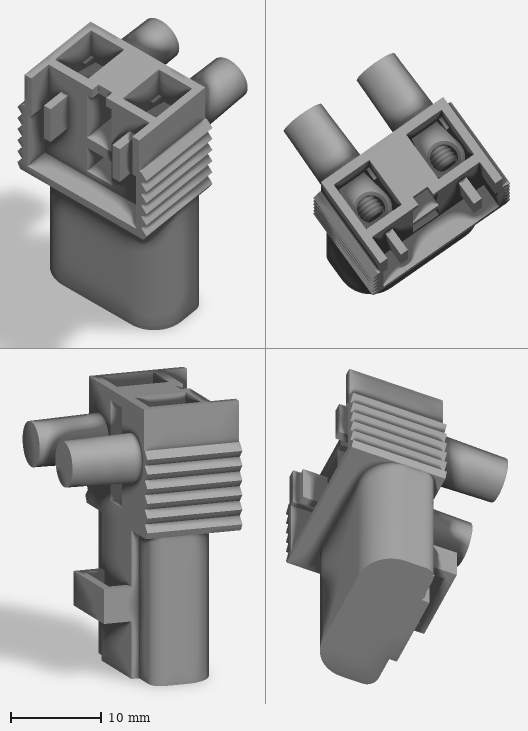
import cadquery as cq
import math


TOTAL_HEIGHT = 31.7
TOTAL_WIDTH = 18.8
TOTAL_DEPTH = 19.55

HEAD_DEPTH = 11.35
HEAD_HALF_WIDTH = 8.35
HEAD_BOTTOM = 17.02
HEAD_BOTTOM_HALF_WIDTH = 8.97

TOOTH_COUNT = 6
TOOTH_PITCH = 1.68
TOOTH_TIP_HALF_WIDTH = TOTAL_WIDTH / 2
TOOTH_ROOT_HALF_WIDTH = 8.62
TEETH_TOP = 27.05

RECESS_DEPTH = 2.98
RECESS_HALF_WIDTH = 7.9
RECESS_BOTTOM = 18.07
RECESS_STEP_HEIGHT = 26.0
RECESS_UPPER_HALF_WIDTH = 7.35

RIB_BOTTOM = 23.75
RIB_TOP = 28.7
RIB_OUTER_X = 5.5
LEFT_RIB_THICKNESS = 0.95
RIGHT_RIB_THICKNESS = 1.08

WINDOW_WIDTH = 3.55
UPPER_WINDOW_TOP = 30.4
UPPER_WINDOW_BOTTOM = 23.95
LOWER_WINDOW_TOP = 22.45
LOWER_WINDOW_BOTTOM = 18.92
NOTCH_WIDTH = 2.03

POLE_X = 4.98
POLE_SIDES = (-1, 1)
WELL_INNER_X = 2.5
WELL_OUTER_X = RECESS_UPPER_HALF_WIDTH
WELL_FRONT = 4.05
WELL_BACK = 10.27
WELL_FLOOR = 22.2
WELL_WIDTH = WELL_OUTER_X - WELL_INNER_X

TAB_WIDTH = 0.4
TAB_LENGTH = 1.5
TAB_TOP = 27.9

TUBE_Z = 25.42
TUBE_BASE_RADIUS = 2.8
TUBE_TIP_RADIUS = 2.6

PLUG_HALF_WIDTH = 8.95
PLUG_FRONT = 2.57
PLUG_BACK = 10.43
PLUG_FRONT_RADIUS = 3.93
PLUG_BACK_RADIUS = 1.4

KEY_WIDTH = 9.13
LOOP_BOTTOM = 6.6
LOOP_TOP = 10.55
LOOP_BACK = 14.65
LOOP_THICKNESS = 1.0

TERMINAL_TOP = 27.25
TERMINAL_Y = 6.47
TERMINAL_RADIUS = 2.35
TERMINAL_BACK_HALF_WIDTH = 1.7
WIRE_HOLE_RADIUS = 1.55
COUNTERSINK_RADIUS = 1.9
DRILL_POINT_ANGLE = 118.0

SCREW_RADIUS = 1.5
SCREW_ROOT_RADIUS = 1.25
SCREW_TIP_RADIUS = 1.08
SCREW_TIP_Y = 5.67
THREAD_PITCH = 0.5


def box(x_range, y_range, z_range):
    """Box between two limits along each axis."""
    size = [high - low for low, high in (x_range, y_range, z_range)]
    corner = (x_range[0], y_range[0], z_range[0])
    return cq.Workplane("XY").box(*size, centered=False).translate(corner)


def centered_box(width, y_range, z_range):
    """Box of the given width, centred on X = 0."""
    return box((-width / 2, width / 2), y_range, z_range)


def head():
    """Block whose sides carry saw-tooth grip ridges, drawn as one front outline."""
    right_side = [(HEAD_HALF_WIDTH, TOTAL_HEIGHT), (HEAD_HALF_WIDTH, TEETH_TOP)]
    for tooth in range(TOOTH_COUNT):
        tooth_top = TEETH_TOP - tooth * TOOTH_PITCH
        right_side.append((TOOTH_ROOT_HALF_WIDTH, tooth_top))
        right_side.append((TOOTH_TIP_HALF_WIDTH, tooth_top - TOOTH_PITCH / 2))
    right_side.append((HEAD_BOTTOM_HALF_WIDTH, HEAD_BOTTOM))
    left_side = [(-x, z) for x, z in reversed(right_side)]
    outline = cq.Workplane("XZ").polyline(right_side + left_side).close()
    return outline.extrude(-HEAD_DEPTH)


def front_recess():
    """Cut that opens the head to the front and top, with a step in its side walls."""
    depth = (0, RECESS_DEPTH)
    lower = centered_box(2 * RECESS_HALF_WIDTH, depth, (RECESS_BOTTOM, RECESS_STEP_HEIGHT))
    upper = centered_box(2 * RECESS_UPPER_HALF_WIDTH, depth, (RECESS_STEP_HEIGHT, TOTAL_HEIGHT))
    return lower.union(upper)


def recess_ribs():
    """Two upright ribs that fill the depth of the recess."""
    depth = (0, RECESS_DEPTH)
    height = (RIB_BOTTOM, RIB_TOP)
    left = box((-RIB_OUTER_X, -RIB_OUTER_X + LEFT_RIB_THICKNESS), depth, height)
    right = box((RIB_OUTER_X - RIGHT_RIB_THICKNESS, RIB_OUTER_X), depth, height)
    return left.union(right)


def windows_and_notch():
    """Two windows through the head, and the notch from the top edge to the upper one."""
    depth = (0, HEAD_DEPTH)
    upper = centered_box(WINDOW_WIDTH, depth, (UPPER_WINDOW_BOTTOM, UPPER_WINDOW_TOP))
    lower = centered_box(WINDOW_WIDTH, depth, (LOWER_WINDOW_BOTTOM, LOWER_WINDOW_TOP))
    notch = centered_box(NOTCH_WIDTH, (RECESS_DEPTH, WELL_FRONT), (UPPER_WINDOW_TOP, TOTAL_HEIGHT))
    return upper.union(lower).union(notch)


def well(side):
    """Cavity open at the top, narrowed by a tab in each rear corner above the terminal."""
    left = min(side * WELL_INNER_X, side * WELL_OUTER_X)
    right = left + WELL_WIDTH
    cavity = box((left, right), (WELL_FRONT, WELL_BACK), (WELL_FLOOR, TOTAL_HEIGHT))
    for tab_left in (left, right - TAB_WIDTH):
        tab_x = (tab_left, tab_left + TAB_WIDTH)
        tab = box(tab_x, (WELL_BACK - TAB_LENGTH, WELL_BACK), (TERMINAL_TOP, TAB_TOP))
        cavity = cavity.cut(tab)
    return cavity


def tube(side):
    """Tapered round boss standing on the rear of the head."""
    profile = [
        (0, HEAD_DEPTH),
        (TUBE_BASE_RADIUS, HEAD_DEPTH),
        (TUBE_TIP_RADIUS, TOTAL_DEPTH),
        (0, TOTAL_DEPTH),
    ]
    boss = cq.Workplane("XY").polyline(profile).close().revolve(360, (0, 0), (0, 1))
    return boss.translate((side * POLE_X, 0, TUBE_Z))


def plug():
    """Rounded plug with a flat key along its rear."""
    shell = centered_box(2 * PLUG_HALF_WIDTH, (PLUG_FRONT, PLUG_BACK), (0, HEAD_BOTTOM))
    shell = shell.edges("|Z and <Y").fillet(PLUG_FRONT_RADIUS)
    shell = shell.edges("|Z and >Y").fillet(PLUG_BACK_RADIUS)
    key = centered_box(KEY_WIDTH, (PLUG_BACK, HEAD_DEPTH), (0, HEAD_BOTTOM))
    return shell.union(key)


def loop():
    """Two arms joined by a cross bar behind the key, flush with its sides."""
    height = (LOOP_BOTTOM, LOOP_TOP)
    block = centered_box(KEY_WIDTH, (HEAD_DEPTH, LOOP_BACK), height)
    opening_width = KEY_WIDTH - 2 * LOOP_THICKNESS
    opening = centered_box(opening_width, (HEAD_DEPTH, LOOP_BACK - LOOP_THICKNESS), height)
    return block.cut(opening)


def make_housing():
    body = head().cut(front_recess()).cut(windows_and_notch())
    body = body.union(recess_ribs()).union(plug()).union(loop())
    for side in POLE_SIDES:
        body = body.union(tube(side)).cut(well(side))
    return body


def make_screw(side):
    """Grub screw along Y with ring-shaped threads and a coned tip."""
    thread_start = SCREW_TIP_Y + SCREW_ROOT_RADIUS - SCREW_TIP_RADIUS
    thread_count = math.floor((WELL_BACK - thread_start) / THREAD_PITCH)
    thread_end = thread_start + thread_count * THREAD_PITCH
    profile = [(0, SCREW_TIP_Y), (SCREW_TIP_RADIUS, SCREW_TIP_Y)]
    for thread in range(thread_count):
        root_y = thread_start + thread * THREAD_PITCH
        profile.append((SCREW_ROOT_RADIUS, root_y))
        profile.append((SCREW_RADIUS, root_y + THREAD_PITCH / 2))
    profile.append((SCREW_ROOT_RADIUS, thread_end))
    profile.append((SCREW_ROOT_RADIUS, WELL_BACK))
    profile.append((0, WELL_BACK))
    screw = cq.Workplane("XY").polyline(profile).close().revolve(360, (0, 0), (0, 1))
    return screw.translate((side * POLE_X, 0, TUBE_Z))


def wire_hole():
    """Countersunk blind hole with a drill point, around the Z axis."""
    countersink_bottom = TERMINAL_TOP - (COUNTERSINK_RADIUS - WIRE_HOLE_RADIUS)
    full_bottom = TUBE_Z - SCREW_RADIUS
    point_depth = WIRE_HOLE_RADIUS / math.tan(math.radians(DRILL_POINT_ANGLE / 2))
    profile = [
        (0, TERMINAL_TOP),
        (COUNTERSINK_RADIUS, TERMINAL_TOP),
        (WIRE_HOLE_RADIUS, countersink_bottom),
        (WIRE_HOLE_RADIUS, full_bottom),
        (0, full_bottom - point_depth),
    ]
    return cq.Workplane("XZ").polyline(profile).close().revolve(360, (0, 0), (0, 1))


def make_terminal(side, screw):
    """Clamp with a round front and flanks tangent to it that narrow toward the rear wall."""
    back = WELL_BACK - TERMINAL_Y
    corner_distance = math.hypot(TERMINAL_BACK_HALF_WIDTH, back)
    corner_angle = math.atan2(back, TERMINAL_BACK_HALF_WIDTH)
    tangent_angle = corner_angle - math.acos(TERMINAL_RADIUS / corner_distance)
    tangent_x = TERMINAL_RADIUS * math.cos(tangent_angle)
    tangent_y = TERMINAL_RADIUS * math.sin(tangent_angle)
    block = (
        cq.Workplane("XY")
        .workplane(offset=WELL_FLOOR)
        .moveTo(-TERMINAL_BACK_HALF_WIDTH, back)
        .lineTo(-tangent_x, tangent_y)
        .threePointArc((0, -TERMINAL_RADIUS), (tangent_x, tangent_y))
        .lineTo(TERMINAL_BACK_HALF_WIDTH, back)
        .close()
        .extrude(TERMINAL_TOP - WELL_FLOOR)
    )
    block = block.cut(wire_hole()).translate((side * POLE_X, TERMINAL_Y, 0))
    return block.cut(screw)


housing = make_housing()
bodies = [housing.solids().val()]
for side in POLE_SIDES:
    screw = make_screw(side)
    terminal = make_terminal(side, screw)
    bodies.append(terminal.solids().val())
    bodies.append(screw.val())

result = cq.Compound.makeCompound(bodies)